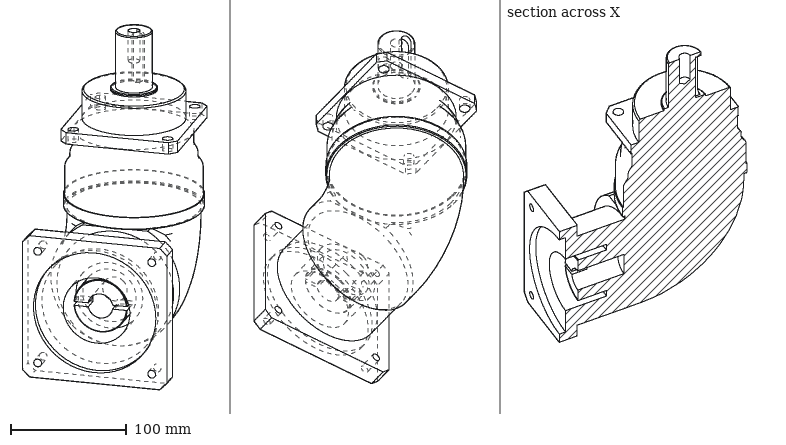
import cadquery as cq
import math


SHAFT_TOP_Z = 216.7
SHAFT_RADIUS = 16.0
SHAFT_CHAMFER = 1.0
KEYWAY_WIDTH = 10.0
KEYWAY_DEPTH = 5.0
KEYWAY_LENGTH = 47.0
KEYWAY_TOP_GAP = 5.0
CENTRE_HOLE_DIAMETER = 10.2
CENTRE_HOLE_DEPTH = 28.0
DRILL_POINT_ANGLE = 118.0
SEAL_RADIUS = 20.5
SEAL_HEIGHT = 2.0
SEAL_CHAMFER = 0.8

PILOT_TOP_Z = 163.0
PILOT_RADIUS = 45.0
PILOT_CHAMFER = 1.5
OUTPUT_FLANGE_TOP_Z = 136.5
OUTPUT_FLANGE_BOTTOM_Z = 126.0
OUTPUT_FLANGE_SIDE = 105.0
OUTPUT_HOLE_DIAMETER = 9.0
OUTPUT_HOLE_CIRCLE = 120.0
FLANGE_CORNER_CHAMFER = 6.5

NECK_RADIUS = 51.8
NECK_BOTTOM_Z = 111.4
SHOULDER_RADIUS = 55.5
SHOULDER_TOP_Z = 105.7
SHOULDER_BOTTOM_Z = 99.0
BODY_RADIUS = 60.0
BODY_TOP_Z = 92.6
HOUSING_BLEND_RADIUS = 5.0
RING_RADIUS = 61.0
RING_TOP_Z = 66.7
RING_BOTTOM_Z = 55.5
RING_CHAMFER = 0.8

ELBOW_RADIUS = 58.0
ELBOW_BEND_RADIUS = 41.9
ELBOW_ARM_END_Y = -58.4
TUBE_RADIUS = 52.5
ELBOW_AXIS_Z = ELBOW_RADIUS - TUBE_RADIUS
ELBOW_CENTRE_Z = ELBOW_AXIS_Z + ELBOW_BEND_RADIUS

INPUT_FACE_Y = -122.5
INPUT_FLANGE_SIDE = 130.0
INPUT_FLANGE_THICKNESS = 17.5
INPUT_HOLE_DIAMETER = 7.0
INPUT_HOLE_CIRCLE = 145.0
INPUT_RECESS_RADIUS = 55.0
INPUT_RECESS_DEPTH = 6.0

OPENING_RADIUS = 30.0
OPENING_DEPTH = 40.0
COLLAR_RADIUS = 24.0
COLLAR_CHAMFER = 0.7
COLLAR_SETBACK = 12.0
COLLAR_BORE_RADIUS = 11.0
COLLAR_BORE_DEPTH = 45.0
COLLAR_SLOT_WIDTH = 3.6
COLLAR_SLOT_DEPTH = 15.0


def vertical_cylinder(radius, bottom_z, top_z):
    return cq.Workplane("XY").workplane(offset=bottom_z).circle(radius).extrude(top_z - bottom_z)


def input_plane(y):
    """Workplane on the input axis at the given Y; extruding goes inward, toward +Y."""
    return cq.Workplane(cq.Plane(origin=(0, y, 0), xDir=(1, 0, 0), normal=(0, 1, 0)))


def square_flange(plane, side, thickness, hole_circle, hole_diameter):
    hole_spacing = hole_circle / math.sqrt(2)
    plate = plane.rect(side, side).extrude(thickness)
    plate = plate.edges(cq.selectors.ParallelDirSelector(plane.plane.zDir)).chamfer(FLANGE_CORNER_CHAMFER)
    holes = (
        plane.rect(hole_spacing, hole_spacing, forConstruction=True)
        .vertices()
        .circle(hole_diameter / 2)
        .extrude(thickness)
    )
    return plate.cut(holes)


def make_shaft():
    shaft = vertical_cylinder(SHAFT_RADIUS, PILOT_TOP_Z, SHAFT_TOP_Z)
    shaft = shaft.faces(">Z").chamfer(SHAFT_CHAMFER)
    seal = vertical_cylinder(SEAL_RADIUS, PILOT_TOP_Z, PILOT_TOP_Z + SEAL_HEIGHT)
    seal = seal.faces(">Z").chamfer(SEAL_CHAMFER)
    keyway_centre_z = SHAFT_TOP_Z - KEYWAY_TOP_GAP - KEYWAY_LENGTH / 2
    keyway = (
        cq.Workplane("XZ", origin=(0, SHAFT_RADIUS, keyway_centre_z))
        .slot2D(KEYWAY_LENGTH, KEYWAY_WIDTH, 90)
        .extrude(KEYWAY_DEPTH)
    )
    hole_radius = CENTRE_HOLE_DIAMETER / 2
    point_height = hole_radius / math.tan(math.radians(DRILL_POINT_ANGLE / 2))
    hole_bottom_z = SHAFT_TOP_Z - CENTRE_HOLE_DEPTH
    centre_hole = (
        cq.Workplane("XZ")
        .moveTo(0, SHAFT_TOP_Z)
        .lineTo(hole_radius, SHAFT_TOP_Z)
        .lineTo(hole_radius, hole_bottom_z)
        .lineTo(0, hole_bottom_z - point_height)
        .close()
        .revolve(360, (0, 0), (0, 1))
    )
    return shaft.cut(keyway).cut(centre_hole).union(seal)


def make_gear_housing():
    profile = [
        (0, OUTPUT_FLANGE_BOTTOM_Z),
        (NECK_RADIUS, OUTPUT_FLANGE_BOTTOM_Z),
        (NECK_RADIUS, NECK_BOTTOM_Z),
        (SHOULDER_RADIUS, SHOULDER_TOP_Z),
        (SHOULDER_RADIUS, SHOULDER_BOTTOM_Z),
        (BODY_RADIUS, BODY_TOP_Z),
        (BODY_RADIUS, RING_TOP_Z),
        (0, RING_TOP_Z),
    ]
    stepped = cq.Workplane("XZ").polyline(profile).close().revolve(360, (0, 0), (0, 1))
    margin = 1.0
    cone_edges = cq.selectors.BoxSelector(
        (-BODY_RADIUS, -BODY_RADIUS, BODY_TOP_Z - margin),
        (BODY_RADIUS, BODY_RADIUS, NECK_BOTTOM_Z + margin),
    )
    stepped = stepped.edges("%CIRCLE").edges(cone_edges).fillet(HOUSING_BLEND_RADIUS)
    ring = vertical_cylinder(RING_RADIUS, RING_BOTTOM_Z, RING_TOP_Z).faces("<Z").chamfer(RING_CHAMFER)
    pilot = vertical_cylinder(PILOT_RADIUS, OUTPUT_FLANGE_TOP_Z, PILOT_TOP_Z)
    pilot = pilot.faces(">Z").chamfer(PILOT_CHAMFER)
    flange = square_flange(
        cq.Workplane("XY").workplane(offset=OUTPUT_FLANGE_BOTTOM_Z),
        OUTPUT_FLANGE_SIDE,
        OUTPUT_FLANGE_TOP_Z - OUTPUT_FLANGE_BOTTOM_Z,
        OUTPUT_HOLE_CIRCLE,
        OUTPUT_HOLE_DIAMETER,
    )
    return stepped.union(ring).union(flange).union(pilot)


def make_elbow():
    """Quarter-turn elbow whose bend is tighter than its own radius, trimmed flat under the ring."""
    bend_chord = math.sqrt(ELBOW_RADIUS**2 - ELBOW_BEND_RADIUS**2)
    bend = (
        cq.Workplane("XY", origin=(0, 0, ELBOW_CENTRE_Z))
        .moveTo(-bend_chord, -ELBOW_BEND_RADIUS)
        .threePointArc((0, ELBOW_RADIUS), (bend_chord, -ELBOW_BEND_RADIUS))
        .close()
        .revolve(90, (1, -ELBOW_BEND_RADIUS), (0, -ELBOW_BEND_RADIUS))
    )
    riser = vertical_cylinder(ELBOW_RADIUS, ELBOW_CENTRE_Z, RING_BOTTOM_Z)
    arm = (
        input_plane(ELBOW_ARM_END_Y)
        .center(0, -ELBOW_AXIS_Z)
        .circle(ELBOW_RADIUS)
        .extrude(-ELBOW_BEND_RADIUS - ELBOW_ARM_END_Y)
    )
    trim_side = 4 * ELBOW_RADIUS
    above_ring_bottom = (
        cq.Workplane("XY")
        .workplane(offset=RING_BOTTOM_Z)
        .rect(trim_side, trim_side)
        .extrude(ELBOW_RADIUS)
    )
    return bend.union(riser).union(arm.cut(above_ring_bottom))


def make_input_side():
    flange = square_flange(
        input_plane(INPUT_FACE_Y),
        INPUT_FLANGE_SIDE,
        INPUT_FLANGE_THICKNESS,
        INPUT_HOLE_CIRCLE,
        INPUT_HOLE_DIAMETER,
    )
    flange_back_y = INPUT_FACE_Y + INPUT_FLANGE_THICKNESS
    tube = input_plane(flange_back_y).circle(TUBE_RADIUS).extrude(ELBOW_ARM_END_Y - flange_back_y)
    return flange.union(tube)


def make_input_opening():
    """Void behind the input face: pilot recess and opening, less the slotted clamping collar."""
    recess_floor_y = INPUT_FACE_Y + INPUT_RECESS_DEPTH
    collar_length = OPENING_DEPTH - COLLAR_SETBACK
    collar_plane = input_plane(recess_floor_y + COLLAR_SETBACK)
    recess = input_plane(INPUT_FACE_Y).circle(INPUT_RECESS_RADIUS).extrude(INPUT_RECESS_DEPTH)
    opening = input_plane(recess_floor_y).circle(OPENING_RADIUS).extrude(OPENING_DEPTH)
    collar = collar_plane.circle(COLLAR_RADIUS).extrude(collar_length).faces("<Y").chamfer(COLLAR_CHAMFER)
    slot = collar_plane.rect(2 * COLLAR_RADIUS, COLLAR_SLOT_WIDTH).extrude(COLLAR_SLOT_DEPTH)
    bore = collar_plane.circle(COLLAR_BORE_RADIUS).extrude(COLLAR_BORE_DEPTH)
    return recess.union(opening.cut(collar.cut(slot))).union(bore)


result = (
    make_gear_housing()
    .union(make_shaft())
    .union(make_elbow())
    .union(make_input_side())
    .cut(make_input_opening())
)